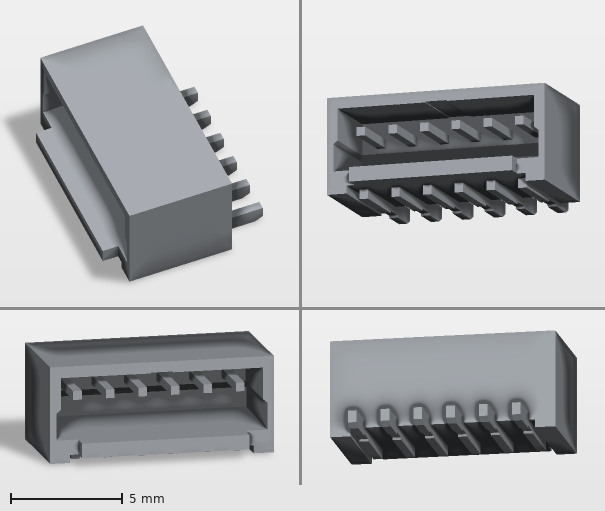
import cadquery as cq
import math


HEIGHT = 4.52
LENGTH = 10.3
DEPTH = 5.0
HOUSING_BOTTOM = 0.07

FOOT_WIDTH = 0.92
RECESS_TOP = 0.44

TONGUE_LENGTH = 7.7
TONGUE_REACH = 0.75

ROOF_THICKNESS = 0.52
UPPER_WALL = 0.5
LOWER_WALL = 0.3
SIDE_STEP_TOP = 2.54
SIDE_STEP_BOTTOM = 2.38
UPPER_CAVITY_DEPTH = 3.5
LOWER_CAVITY_DEPTH = 4.2
LEDGE_FRONT_Z = 2.58
LEDGE_BACK_Z = 2.15
FLOOR_FRONT_Z = 1.13
FLOOR_ANGLE = 1.5

KEY_WIDTH = 1.0
KEY_HEIGHT = 0.04

PIN_COUNT = 6
PIN_PITCH = 1.5
PIN_WIDTH = 0.4
CONTACT_TOP = 3.22
CONTACT_TIP_Y = 0.6
CONTACT_ROOT_Y = 4.5
PAD_FRONT_Y = 1.02
PAD_BACK_Y = 4.28
RELIEF_RAMP = 0.05
TAIL_TOP = 0.74
TAIL_END_Y = 7.0
TAIL_CHAMFER_LENGTH = 0.37
TAIL_CHAMFER_HEIGHT = 0.19
RELIEF_HEIGHT = 0.1
RELIEF_END_Y = 5.2

ROOF_Z = HEIGHT - ROOF_THICKNESS
FLOOR_SLOPE = math.tan(math.radians(FLOOR_ANGLE))


def box(x_length, y_start, y_end, z_start, z_end):
    """Block centred on X = 0 between the given Y and Z limits."""
    size = (x_length, y_end - y_start, z_end - z_start)
    corner = (-x_length / 2, y_start, z_start)
    return cq.Workplane("XY").box(*size, centered=False).translate(corner)


def side_prism(points, x_length):
    """Closed (Y, Z) outline extruded symmetrically about X = 0."""
    return cq.Workplane("YZ").polyline(points).close().extrude(x_length / 2, both=True)


def floor_height(y):
    """Height of the sloping cavity floor at depth y."""
    return FLOOR_FRONT_Z + FLOOR_SLOPE * y


def make_tongue():
    outline = [
        (-TONGUE_REACH, RECESS_TOP),
        (DEPTH / 2, RECESS_TOP),
        (DEPTH / 2, floor_height(DEPTH / 2)),
        (-TONGUE_REACH, floor_height(-TONGUE_REACH)),
    ]
    return side_prism(outline, TONGUE_LENGTH)


def make_cavity():
    upper_half = LENGTH / 2 - UPPER_WALL
    lower_half = LENGTH / 2 - LOWER_WALL
    mouth = (
        cq.Workplane("XZ")
        .polyline([
            (-upper_half, ROOF_Z),
            (upper_half, ROOF_Z),
            (upper_half, SIDE_STEP_TOP),
            (lower_half, SIDE_STEP_BOTTOM),
            (lower_half, 0),
            (-lower_half, 0),
            (-lower_half, SIDE_STEP_BOTTOM),
            (-upper_half, SIDE_STEP_TOP),
        ])
        .close()
        .extrude(-DEPTH)
    )
    section = side_prism(
        [
            (0, ROOF_Z),
            (UPPER_CAVITY_DEPTH, ROOF_Z),
            (UPPER_CAVITY_DEPTH, LEDGE_FRONT_Z),
            (LOWER_CAVITY_DEPTH, LEDGE_BACK_Z),
            (LOWER_CAVITY_DEPTH, floor_height(LOWER_CAVITY_DEPTH)),
            (0, floor_height(0)),
        ],
        LENGTH,
    )
    key_groove = box(KEY_WIDTH, 0, UPPER_CAVITY_DEPTH, ROOF_Z - KEY_HEIGHT, ROOF_Z + KEY_HEIGHT)
    return mouth.intersect(section).union(key_groove)


def make_housing():
    body = box(LENGTH, 0, DEPTH, HOUSING_BOTTOM, HEIGHT)
    recess = box(LENGTH - 2 * FOOT_WIDTH, 0, DEPTH, 0, RECESS_TOP)
    return body.cut(make_cavity()).cut(recess).union(make_tongue())


def make_pin():
    """Contact inside the cavity, with a pad under the housing and a solder tail behind it."""
    contact = box(PIN_WIDTH, CONTACT_TIP_Y, CONTACT_ROOT_Y, CONTACT_TOP - PIN_WIDTH, CONTACT_TOP)
    tail = side_prism(
        [
            (PAD_FRONT_Y, 0),
            (PAD_BACK_Y - RELIEF_RAMP, 0),
            (PAD_BACK_Y, RELIEF_HEIGHT),
            (RELIEF_END_Y, RELIEF_HEIGHT),
            (RELIEF_END_Y + RELIEF_RAMP, 0),
            (TAIL_END_Y - TAIL_CHAMFER_LENGTH, 0),
            (TAIL_END_Y, TAIL_CHAMFER_HEIGHT),
            (TAIL_END_Y, TAIL_TOP),
            (PAD_FRONT_Y, TAIL_TOP),
        ],
        PIN_WIDTH,
    )
    return contact.union(tail)


result = make_housing()
for index in range(PIN_COUNT):
    pin_x = (index - (PIN_COUNT - 1) / 2) * PIN_PITCH
    result = result.union(make_pin().translate((pin_x, 0, 0)))